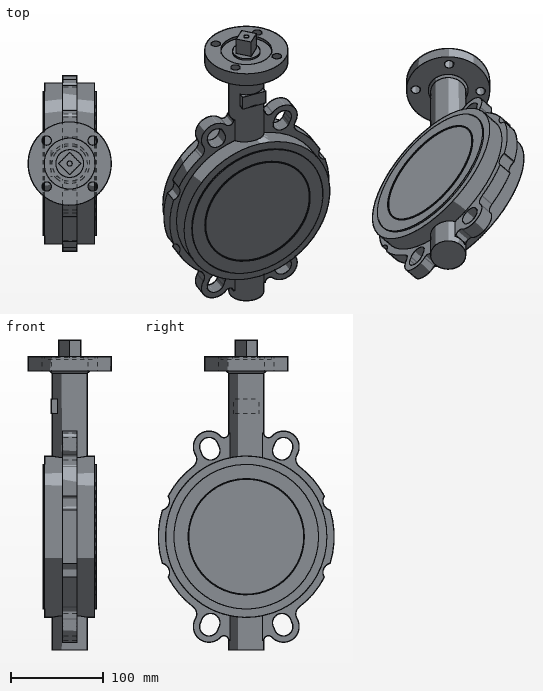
import cadquery as cq
import math


body_radius = 87.0
body_width = 54.0
face_radius = 78.0
face_width = 57.5
disc_radius = 62.0
seat_gap = 0.75
seat_gap_depth = 1.0

plate_radius = 95.0
plate_thickness = 15.5
bolt_count = 8
slot_radius = 10.0
slot_inner_reach = 100.5
slot_outer_reach = 105.0
lug_radius = 17.0
lug_angle = 180.0 / bolt_count
neck_fillet = 5.0
rim_fillet = 10.0

neck_radius = 19.0
neck_bottom = -122.3
collar_height = 2.5

flange_radius = 45.0
flange_thickness = 15.5
flange_top = 194.15
flange_bottom = flange_top - flange_thickness
flange_bolt_circle = 70.0
flange_hole_diameter = 10.0
flange_hole_count = 4
flange_recess_radius = 27.5
flange_recess_depth = 3.0

stem_radius = 15.0
stem_rise = 2.0
square_side = 17.0
square_turn = 45.0
square_top = 212.15
centre_hole_diameter = 5.5
centre_hole_depth = 0.5

tab_width = 27.5
tab_height = 15.5
tab_bottom = 133.0
tab_outer_x = -20.0
tab_inner_x = -12.5


def x_cylinder(radius, width):
    """Cylinder along X, centred on the origin."""
    return cq.Workplane("YZ").circle(radius).extrude(width / 2, both=True)


def z_cylinder(radius, bottom, top):
    """Cylinder along the stem axis."""
    return cq.Workplane("XY").workplane(offset=bottom).circle(radius).extrude(top - bottom)


def point_towards(start, end, distance):
    """Point at a given distance from start on the ray through end."""
    length = math.dist(start, end)
    return tuple(s + (e - s) * distance / length for s, e in zip(start, end))


def midpoint(first, second):
    """Point halfway between two points."""
    return tuple((a + b) / 2 for a, b in zip(first, second))


def make_body():
    body = x_cylinder(body_radius, body_width).union(x_cylinder(face_radius, face_width))
    for side in (-1, 1):
        gap = (
            cq.Workplane("YZ", origin=(side * face_width / 2, 0, 0))
            .circle(disc_radius + seat_gap)
            .circle(disc_radius)
            .extrude(-side * seat_gap_depth)
        )
        body = body.cut(gap)
    return body


def make_lug():
    """Upper lug on the +Y side, from the neck to the plate rim, with both fillets."""
    angle = math.radians(lug_angle)
    lug_centre = (slot_outer_reach * math.sin(angle), slot_outer_reach * math.cos(angle))

    neck_fillet_y = neck_radius + neck_fillet
    neck_fillet_rise = math.sqrt((lug_radius + neck_fillet) ** 2 - (lug_centre[0] - neck_fillet_y) ** 2)
    neck_fillet_centre = (neck_fillet_y, lug_centre[1] + neck_fillet_rise)
    neck_start = (neck_radius, neck_fillet_centre[1])
    lug_start = point_towards(lug_centre, neck_fillet_centre, lug_radius)
    neck_fillet_middle = point_towards(
        neck_fillet_centre,
        midpoint(neck_start, lug_start),
        neck_fillet,
    )

    fillet_reach = plate_radius + rim_fillet
    fillet_to_lug = lug_radius + rim_fillet
    swing = math.acos(
        (fillet_reach**2 + slot_outer_reach**2 - fillet_to_lug**2) / (2 * fillet_reach * slot_outer_reach)
    )
    rim_fillet_centre = (fillet_reach * math.sin(angle + swing), fillet_reach * math.cos(angle + swing))
    lug_end = point_towards(lug_centre, rim_fillet_centre, lug_radius)
    rim_end = point_towards((0, 0), rim_fillet_centre, plate_radius)
    rim_fillet_middle = point_towards(
        rim_fillet_centre,
        midpoint(lug_end, rim_end),
        rim_fillet,
    )

    lug_tip = point_towards((0, 0), lug_centre, slot_outer_reach + lug_radius)
    return (
        cq.Workplane("YZ")
        .moveTo(0, 0)
        .lineTo(0, neck_start[1])
        .lineTo(*neck_start)
        .threePointArc(neck_fillet_middle, lug_start)
        .threePointArc(lug_tip, lug_end)
        .threePointArc(rim_fillet_middle, rim_end)
        .close()
        .extrude(plate_thickness / 2, both=True)
    )


def make_bolt_slots():
    """Radial bolt slots; those next to the Y axis break out through the plate rim."""
    slot = (
        cq.Workplane("YZ")
        .center(0, (slot_inner_reach + slot_outer_reach) / 2)
        .slot2D(slot_outer_reach - slot_inner_reach + 2 * slot_radius, 2 * slot_radius, 90)
        .extrude(plate_thickness, both=True)
    )
    turns = [lug_angle + index * 360.0 / bolt_count for index in range(bolt_count)]
    return [slot.rotate((0, 0, 0), (1, 0, 0), turn) for turn in turns]


def make_plate():
    plate = x_cylinder(plate_radius, plate_thickness)
    upper_lugs = make_lug().union(make_lug().mirror("XZ"))
    plate = plate.union(upper_lugs).union(upper_lugs.mirror("XY"))
    for slot in make_bolt_slots():
        plate = plate.cut(slot)
    return plate


def make_neck():
    neck = z_cylinder(neck_radius, neck_bottom, flange_bottom)
    collar = (
        cq.Workplane("XY", origin=(0, 0, flange_bottom - collar_height))
        .circle(neck_radius)
        .workplane(offset=collar_height)
        .circle(neck_radius + collar_height)
        .loft()
    )
    return neck.union(collar)


def make_flange():
    flange = z_cylinder(flange_radius, flange_bottom, flange_top)
    recess = z_cylinder(flange_recess_radius, flange_top - flange_recess_depth, flange_top)
    holes = (
        cq.Workplane("XY", origin=(0, 0, flange_bottom))
        .polarArray(flange_bolt_circle / 2, 180.0 / flange_hole_count, 360, flange_hole_count)
        .circle(flange_hole_diameter / 2)
        .extrude(flange_thickness)
    )
    return flange.cut(recess).cut(holes)


def make_stem():
    recess_floor = flange_top - flange_recess_depth
    stem = z_cylinder(stem_radius, recess_floor, recess_floor + stem_rise)
    square = (
        cq.Workplane("XY", origin=(0, 0, recess_floor))
        .transformed(rotate=(0, 0, square_turn))
        .rect(square_side, square_side)
        .extrude(square_top - recess_floor)
    )
    centre_hole = z_cylinder(centre_hole_diameter / 2, square_top - centre_hole_depth, square_top)
    return stem.union(square).cut(centre_hole)


def make_tab():
    return cq.Workplane("XY", origin=(tab_outer_x, 0, tab_bottom)).box(
        tab_inner_x - tab_outer_x, tab_width, tab_height, centered=(False, True, False)
    )


result = make_plate().union(make_body())
for part in (make_neck(), make_flange(), make_stem(), make_tab()):
    result = result.union(part)